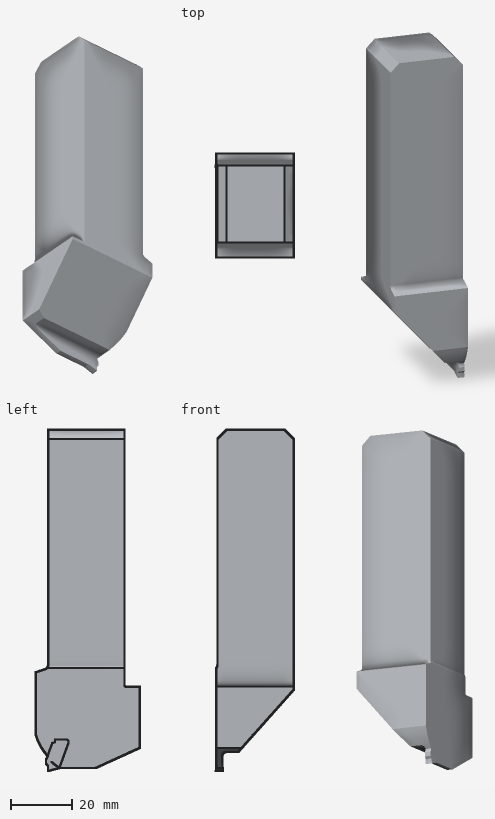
import cadquery as cq
import math


shank_width = 25.0
total_height = 111.6
end_chamfer = 3.0

head_front_y = -5.0
head_back_y = 29.07
head_offset = 0.35
head_face_x = -head_offset
front_shoulder_z = 27.65
back_shoulder_z = 32.35
back_shoulder_angle = math.radians(18)
side_shoulder_z = 33.7
front_shoulder_radius = 0.5
shoulder_radius = 1.4

nose_start_z = 11.9
nose_middle = (27.7, 8.55)
nose_end_z = 5.0
head_bottom_z = 1.0
bottom_flat_front_y = 9.46
front_corner_z = 7.6

blade_thickness = 2.05
blade_inner_x = head_face_x + blade_thickness
blade_top_z = 6.2
blade_root_radius = 1.2
relief_start_x = 6.8
relief_end_z = 26.6

insert_lean = math.radians(20)
insert_heel_y = 21.33
insert_neck = (25.36, 4.46)
insert_top_z = 10.4
insert_top_radius = 0.9
insert_step_y = 22.69
insert_step_z = 9.55
insert_step_start_z = 9.16
insert_lip_y = 25.7
insert_lip_top_z = 3.8
insert_lip_bottom_z = 2.4
tip_y = 25.04
tip_top_z = 1.7

flare = 0.15
flare_top_z = 3.0
flare_corner_y = 23.85


def leaning_y(start_y, start_z, z):
    """Y at height z on a line that leans with the insert through a start point."""
    return start_y - (z - start_z) * math.tan(insert_lean)


def prism_along_x(outline, start_x, length):
    """Extrude a closed list of (Y, Z) points along +X."""
    return cq.Workplane("YZ", origin=(start_x, 0, 0)).polyline(outline).close().extrude(length)


def make_insert_core():
    """Insert at blade thickness, the shape that the seat in the holder matches."""
    neck_y, neck_z = insert_neck
    top_corner_y = leaning_y(insert_heel_y, head_bottom_z, insert_top_z)
    outline = [
        (tip_y, 0),
        (insert_heel_y, head_bottom_z),
        (top_corner_y, insert_top_z),
        (insert_step_y, insert_top_z),
        (insert_step_y, insert_step_z),
        (leaning_y(neck_y, neck_z, insert_step_start_z), insert_step_start_z),
        insert_neck,
        (insert_lip_y, insert_lip_top_z),
        (insert_lip_y, insert_lip_bottom_z),
        (tip_y, tip_top_z),
    ]
    core = prism_along_x(outline, head_face_x, blade_thickness)
    top_corner = cq.NearestToPointSelector((head_face_x + blade_thickness / 2, top_corner_y, insert_top_z))
    return core.edges("|X").edges(top_corner).fillet(insert_top_radius)


def make_flares():
    """Wedges on both insert sides, growing from nothing at the top to full flare at the tip."""
    outline = [
        (tip_y, 0),
        (insert_heel_y, head_bottom_z),
        (flare_corner_y, flare_top_z),
        (insert_lip_y, flare_top_z),
        (insert_lip_y, insert_lip_bottom_z),
        (tip_y, tip_top_z),
    ]
    flared_width = blade_thickness + 2 * flare
    block = prism_along_x(outline, head_face_x - flare, flared_width)
    taper = (
        cq.Workplane("XZ", origin=(0, head_back_y, 0))
        .polyline([
            (head_face_x - flare, 0),
            (blade_inner_x + flare, 0),
            (blade_inner_x, flare_top_z),
            (head_face_x, flare_top_z),
        ])
        .close()
        .extrude(head_back_y)
    )
    return block.intersect(taper)


def make_holder_blank():
    """Shank and head in one side outline, with rounded front and back shoulders."""
    back_root_z = back_shoulder_z + (head_back_y - shank_width) * math.tan(back_shoulder_angle)
    nose_end = (leaning_y(*insert_neck, nose_end_z), nose_end_z)
    blank = (
        cq.Workplane("YZ", origin=(head_face_x, 0, 0))
        .moveTo(0, total_height)
        .lineTo(0, front_shoulder_z)
        .lineTo(head_front_y, front_shoulder_z)
        .lineTo(head_front_y, front_corner_z)
        .lineTo(bottom_flat_front_y, head_bottom_z)
        .lineTo(insert_heel_y, head_bottom_z)
        .lineTo(*nose_end)
        .threePointArc(nose_middle, (head_back_y, nose_start_z))
        .lineTo(head_back_y, back_shoulder_z)
        .lineTo(shank_width, back_root_z)
        .lineTo(shank_width, total_height)
        .close()
        .extrude(shank_width + head_offset)
    )
    middle_x = (head_face_x + shank_width) / 2
    front_root = cq.NearestToPointSelector((middle_x, 0, front_shoulder_z))
    back_root = cq.NearestToPointSelector((middle_x, shank_width, back_root_z))
    blank = blank.edges("|X").edges(front_root).fillet(front_shoulder_radius)
    return blank.edges("|X").edges(back_root).fillet(shoulder_radius)


def cutter_along_y(sketch):
    """Extrude a closed X-Z sketch over the full depth of the head."""
    return sketch.close().extrude(head_back_y - head_front_y)


def start_sketch():
    return cq.Workplane("XZ", origin=(0, head_back_y, 0))


def make_side_shoulder_cut():
    """Sets the shank back from the head's -X face, with a concave arc tangent to the shank."""
    radius = shoulder_radius
    arc_height = math.sqrt(radius**2 - (radius - head_offset) ** 2)
    arc_top_z = side_shoulder_z + arc_height
    half_angle = math.acos((radius - head_offset) / radius) / 2
    arc_middle = (radius * (math.cos(half_angle) - 1), arc_top_z - radius * math.sin(half_angle))
    return cutter_along_y(
        start_sketch()
        .moveTo(head_face_x, side_shoulder_z)
        .threePointArc(arc_middle, (0, arc_top_z))
        .lineTo(0, total_height)
        .lineTo(head_face_x, total_height)
    )


def make_blade_cut():
    """Clears the head behind the blade and slopes its underside out to the +X face."""
    cut = cutter_along_y(
        start_sketch()
        .moveTo(blade_inner_x, 0)
        .lineTo(blade_inner_x, blade_top_z)
        .lineTo(relief_start_x, blade_top_z)
        .lineTo(shank_width, relief_end_z)
        .lineTo(shank_width, 0)
    )
    middle_y = (head_front_y + head_back_y) / 2
    blade_root = cq.NearestToPointSelector((blade_inner_x, middle_y, blade_top_z))
    return cut.edges("|Y").edges(blade_root).fillet(blade_root_radius)


insert_core = make_insert_core()
insert = insert_core.union(make_flares())

holder = make_holder_blank().cut(make_side_shoulder_cut())
holder = holder.faces(">Z").edges("|Y").chamfer(end_chamfer)
holder = holder.cut(make_blade_cut()).cut(insert_core)

result = cq.Compound.makeCompound([holder.val(), insert.val()])